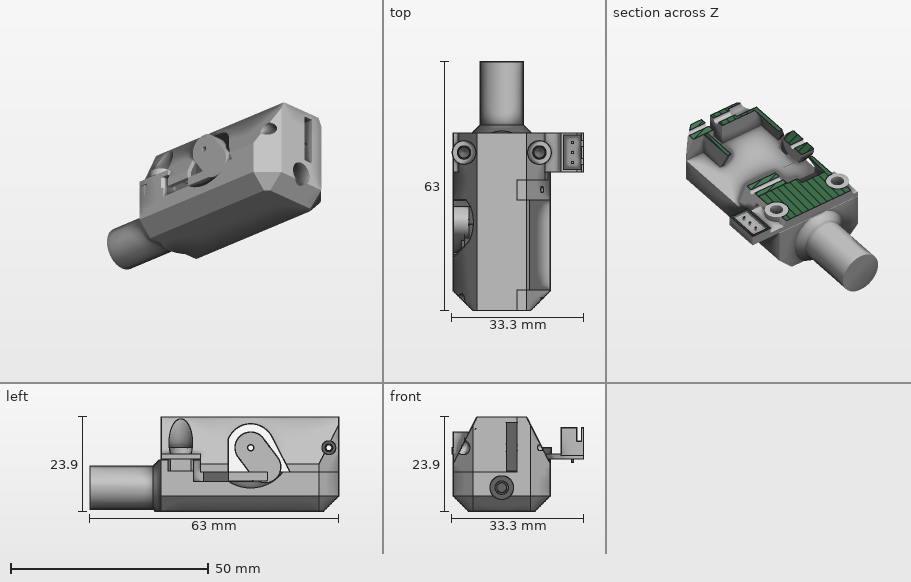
import cadquery as cq
import math


HALF_WIDTH = 12.3
BODY_LENGTH = 45.0
BOTTOM_Z = -6.0
TOP_Z = 17.9
BOTTOM_CHAMFER = 3.9
CORNER_CHAMFER = 5.0
SLOPE_START_Z = 6.0
TOP_HALF_WIDTH = 6.3
SLOPE = (HALF_WIDTH - TOP_HALF_WIDTH) / (TOP_Z - SLOPE_START_Z)

SPLIT_Z = 4.0
SEAM_X = 3.9
FRONT_TAB_END_Y = 5.2
REAR_TAB_START_Y = 27.95
REAR_TAB_END_Y = 33.1
REAR_TAB_INNER_X = 1.2
COVER_SIDE_X = 7.05
COVER_WALL = 1.2
CAVITY_TOP_Z = 16.5
CAVITY_REAR_BAY_X = -1.95
SLOT_FLOOR_CLEARANCE = 0.2

TUBE_DIAMETER = 11.0
TUBE_END_Y = 63.0
COLLAR_LENGTH = 2.0
BORE_DIAMETER = 6.0
BORE_DEPTH = 10.0
GUIDE_DIAMETER = 3.4
GUIDE_DEPTH = 12.0
FILAMENT_DIAMETER = 2.5
FILAMENT_DEPTH = 16.0

BOARD_START_Y = 35.05
BOARD_END_Y = BODY_LENGTH
BOARD_BOTTOM_Z = 7.2
BOARD_TOP_Z = 8.55
BOARD_RIGHT_X = 20.72
BOARD_GAP = 0.15
REAR_DECK_Z = BOARD_BOTTOM_Z - BOARD_GAP

SCREW_X = 9.55
SCREW_Y = 40.0
COUNTERBORE_DIAMETER = 6.0
BOSS_DIAMETER = COUNTERBORE_DIAMETER
BOSS_TOP_Z = 10.1
COVER_SCREW_HOLE = 3.4
BOARD_SCREW_HOLE = 3.2
HOUSING_SCREW_HOLE = 2.8
SCREW_HOLE_BOTTOM_Z = 1.0
DRILL_TIP_ANGLE = 118.0

CROSS_Z = 10.1
CROSS_SCREW_Y = 2.5
CROSS_HEAD_DIAMETER = 3.5
CROSS_HEAD_SEAT_X = -4.0
CROSS_CLEARANCE_DIAMETER = 2.0
PIN_DIAMETER = 1.5
REAR_PIN_Y = 30.6

PIVOT_Y = 22.3
LEVER_RADIUS = 4.0
LEVER_REACH = 6.1
LEVER_TILT = 53.0
LEVER_THICKNESS = 2.1
HUB_HEIGHT = 1.9
HUB_STEP_RADIUS = 4.6
HUB_STEP_HEIGHT = 0.8
LEVER_INNER_X = LEVER_THICKNESS - HALF_WIDTH
HUB_INNER_X = LEVER_INNER_X + HUB_HEIGHT
ARM_START_Y = REAR_TAB_START_Y
ARM_ROOT_END_Y = 21.9
ARM_ROOT_X = -6.0
ARM_END_Y = 18.0
ARM_BOTTOM_Z = 1.7
ARM_CORNER = 0.4

SWING_RADIUS = 10.2
SWING_POCKET_X = LEVER_INNER_X + HUB_STEP_HEIGHT
WINDOW_RADIUS = 6.05
WINDOW_REAR_Y = 28.1
WINDOW_FOOT_Y = 12.4
CHANNEL_CLEARANCE = 0.15
CHANNEL_FLOOR_Z = ARM_BOTTOM_Z - CHANNEL_CLEARANCE
CHANNEL_END_Y = 36.8
CHANNEL_STEP_Y = 34.3
CHANNEL_START_Y = ARM_ROOT_END_Y - CHANNEL_CLEARANCE
CHANNEL_SHALLOW = 1.5

SPACER_WIDTH = 6.4
SPACER_BASE_Z = 4.15
SPACER_RADIUS = 3.8

CONNECTOR_LEFT_X = 15.05
CONNECTOR_BOTTOM_Z = 8.15
CONNECTOR_TOP_Z = 15.2
CONNECTOR_WALL = 0.6
CONNECTOR_FLOOR_Z = 9.2
NOTCH_BOTTOM_Z = 11.75
NOTCH_LEFT_X = 19.05
NOTCH_WIDTH = 1.15
KEY_SLOT_WIDTH = 1.55
KEY_SLOT_OFFSET = 2.25
CONTACT_X = 17.95
CONTACT_PITCH = 2.5
CONTACT_SIZE = 0.5
CONTACT_BOTTOM_Z = 6.4
CONTACT_TOP_Z = 12.0

OVERCUT = 1.0


def box(x_range, y_range, z_range):
    """Axis-aligned box between three coordinate pairs."""
    size = [high - low for low, high in (x_range, y_range, z_range)]
    corner = (x_range[0], y_range[0], z_range[0])
    return cq.Workplane("XY").box(*size, centered=False).translate(corner)


def cylinder_x(diameter, x_start, x_end, y, z):
    plane = cq.Workplane("YZ", origin=(x_start, y, z))
    return plane.circle(diameter / 2).extrude(x_end - x_start)


def cylinder_y(diameter, y_start, y_end):
    plane = cq.Workplane("XZ", origin=(0, y_start, 0))
    return plane.circle(diameter / 2).extrude(y_start - y_end)


def cylinder_z(diameter, x, y, z_start, z_end):
    plane = cq.Workplane("XY", origin=(x, y, z_start))
    return plane.circle(diameter / 2).extrude(z_end - z_start)


def side_face(x):
    """Sketch plane facing +X whose local axes are the part's Y and Z."""
    return cq.Workplane("YZ", origin=(x, 0, 0))


def bottom_bevel(foot, outward, inset):
    """Wedge that bevels the bottom edge below an upright face passing through a plan point."""
    tangent = (outward[1], -outward[0], 0)
    plane = cq.Plane(origin=(*foot, BOTTOM_Z), xDir=(*outward, 0), normal=tangent)
    wedge = cq.Workplane(plane).polyline([(0, 0), (-inset, 0), (0, BOTTOM_CHAMFER)]).close()
    return wedge.extrude(BODY_LENGTH, both=True)


def outer_hull():
    """House-shaped bar with bevelled front corners and front bottom edge."""
    right_side = [
        (HALF_WIDTH - BOTTOM_CHAMFER, BOTTOM_Z),
        (HALF_WIDTH, BOTTOM_Z + BOTTOM_CHAMFER),
        (HALF_WIDTH, SLOPE_START_Z),
        (TOP_HALF_WIDTH, TOP_Z),
    ]
    left_side = [(-x, z) for x, z in reversed(right_side)]
    hull = cq.Workplane("XZ").polyline(right_side + left_side).close().extrude(-BODY_LENGTH)
    plan = (
        cq.Workplane("XY", origin=(0, 0, BOTTOM_Z))
        .rect(2 * HALF_WIDTH, 2 * BODY_LENGTH)
        .extrude(TOP_Z - BOTTOM_Z)
        .intersect(box((-HALF_WIDTH, HALF_WIDTH), (0, BODY_LENGTH), (BOTTOM_Z, TOP_Z)))
        .edges("|Z and <Y")
        .chamfer(CORNER_CHAMFER)
    )
    hull = hull.intersect(plan).cut(bottom_bevel((0, 0), (0, -1), BOTTOM_CHAMFER))
    corner_inset = BOTTOM_CHAMFER / math.sqrt(2)
    corner_x = HALF_WIDTH - CORNER_CHAMFER / 2
    for side in (-1, 1):
        hull = hull.cut(bottom_bevel((side * corner_x, CORNER_CHAMFER / 2), (side, -1), corner_inset))
    return hull


def make_arm():
    """Bar beside the lever with a rounded free end, widened inwards at its root."""
    arm_z = (ARM_BOTTOM_Z, SPLIT_Z)
    bar = box((-HALF_WIDTH, SWING_POCKET_X), (ARM_END_Y, ARM_START_Y), arm_z)
    root = box((SWING_POCKET_X, ARM_ROOT_X), (ARM_ROOT_END_Y, ARM_START_Y), arm_z)
    return bar.edges("|X and <Y").fillet(ARM_CORNER).union(root)


def tilted_slot(x_start, x_end):
    """Stadium whose upper centre is the lever pivot."""
    tilt = math.radians(LEVER_TILT)
    middle_y = PIVOT_Y - LEVER_REACH / 2 * math.cos(tilt)
    middle_z = CROSS_Z - LEVER_REACH / 2 * math.sin(tilt)
    length = LEVER_REACH + 2 * LEVER_RADIUS
    sketch = side_face(x_start).center(middle_y, middle_z)
    return sketch.slot2D(length, 2 * LEVER_RADIUS, LEVER_TILT).extrude(x_end - x_start)


def make_lever(arm):
    """Tilted stadium, thinned around its stepped round hub, with a seat for the arm."""
    hub = cylinder_x(2 * LEVER_RADIUS, LEVER_INNER_X, HUB_INNER_X, PIVOT_Y, CROSS_Z)
    step_end = LEVER_INNER_X + HUB_STEP_HEIGHT
    hub_step = cylinder_x(2 * HUB_STEP_RADIUS, LEVER_INNER_X, step_end, PIVOT_Y, CROSS_Z)
    thinning = tilted_slot(LEVER_INNER_X, HUB_INNER_X).cut(hub).cut(hub_step)
    pivot_hole = cylinder_x(PIN_DIAMETER, -HALF_WIDTH, HUB_INNER_X, PIVOT_Y, CROSS_Z)
    return tilted_slot(-HALF_WIDTH, HUB_INNER_X).cut(thinning).cut(pivot_hole).cut(arm)


def housing_regions():
    """Lower half and the two tabs that rise on the right, with a low bridge behind them."""
    whole_x = (-HALF_WIDTH, HALF_WIDTH)
    right_x = (SEAM_X, HALF_WIDTH)
    base = box(whole_x, (0, BODY_LENGTH), (BOTTOM_Z, SPLIT_Z))
    deck_bridge = box(right_x, (REAR_TAB_END_Y, BOARD_START_Y), (BOTTOM_Z, REAR_DECK_Z))
    front_tab = box(right_x, (0, FRONT_TAB_END_Y), (BOTTOM_Z, TOP_Z))
    rear_span = (REAR_TAB_START_Y, REAR_TAB_END_Y)
    rear_tab = box(right_x, rear_span, (BOTTOM_Z, TOP_Z))
    rear_web = box((REAR_TAB_INNER_X, HALF_WIDTH), rear_span, (BOTTOM_Z, CAVITY_TOP_Z))
    return base.union(deck_bridge).union(front_tab).union(rear_tab).union(rear_web)


def make_tube():
    """Rear tube with a conical collar, flattened level with the rear deck and the bottom."""
    radius = TUBE_DIAMETER / 2
    collar_end_y = BODY_LENGTH + COLLAR_LENGTH
    profile = [
        (0, BODY_LENGTH),
        (radius + COLLAR_LENGTH, BODY_LENGTH),
        (radius, collar_end_y),
        (radius, TUBE_END_Y),
        (0, TUBE_END_Y),
    ]
    tube = cq.Workplane("XY").polyline(profile).close().revolve(360, (0, 0, 0), (0, 1, 0))
    return tube.intersect(
        box((-HALF_WIDTH, HALF_WIDTH), (BODY_LENGTH, TUBE_END_Y), (BOTTOM_Z, REAR_DECK_Z))
    )


def filament_bore():
    """Stepped blind bore entering from the front face."""
    wide = cylinder_y(BORE_DIAMETER, 0, BORE_DEPTH)
    guide = cylinder_y(GUIDE_DIAMETER, 0, GUIDE_DEPTH)
    narrow = cylinder_y(FILAMENT_DIAMETER, 0, FILAMENT_DEPTH)
    return wide.union(guide).union(narrow)


def drilled_hole(x):
    """Screw hole with a conical drill tip."""
    radius = HOUSING_SCREW_HOLE / 2
    tip_z = SCREW_HOLE_BOTTOM_Z - radius / math.tan(math.radians(DRILL_TIP_ANGLE / 2))
    profile = [
        (0, tip_z),
        (radius, SCREW_HOLE_BOTTOM_Z),
        (radius, BOARD_BOTTOM_Z),
        (0, BOARD_BOTTOM_Z),
    ]
    hole = cq.Workplane("XZ").polyline(profile).close().revolve(360, (0, 0, 0), (0, 1, 0))
    return hole.translate((x, SCREW_Y, 0))


def lever_recess():
    """Swing pocket for the lever tip, open to the channel that runs back to the rear deck."""
    outer_x = -HALF_WIDTH - OVERCUT
    swing = cylinder_x(2 * SWING_RADIUS, outer_x, SWING_POCKET_X, PIVOT_Y, CROSS_Z).intersect(
        box((outer_x, SWING_POCKET_X), (0, BODY_LENGTH), (BOTTOM_Z, SPLIT_Z))
    )
    channel_z = (CHANNEL_FLOOR_Z, SPLIT_Z)
    shallow_x = (outer_x, -HALF_WIDTH + CHANNEL_SHALLOW)
    deep = box((outer_x, ARM_ROOT_X), (CHANNEL_START_Y, CHANNEL_STEP_Y), channel_z)
    shallow = box(shallow_x, (CHANNEL_STEP_Y, CHANNEL_END_Y), channel_z)
    upright = box(shallow_x, (BOARD_START_Y, CHANNEL_END_Y), (SPLIT_Z, REAR_DECK_Z))
    return swing.union(deep).union(shallow).union(upright)


def spacer_blank():
    """Round post under the left side of the board, trimmed flat on both flanks and the outer side."""
    half = SPACER_WIDTH / 2
    spacer_z = (SPACER_BASE_Z, BOARD_BOTTOM_Z)
    trim = box((-HALF_WIDTH, 0), (SCREW_Y - half, SCREW_Y + half), spacer_z)
    return cylinder_z(2 * SPACER_RADIUS, -SCREW_X, SCREW_Y, *spacer_z).intersect(trim)


def make_spacer():
    return spacer_blank().cut(drilled_hole(-SCREW_X))


def spacer_pocket():
    """Seat for the spacer, squared off where it breaks through the side wall."""
    half = SPACER_WIDTH / 2
    side_y = (SCREW_Y - half, SCREW_Y + half)
    mouth = box((-HALF_WIDTH, -SCREW_X), side_y, (SPACER_BASE_Z, BOARD_BOTTOM_Z))
    return spacer_blank().union(mouth)


def make_housing(hull):
    deck = box((-HALF_WIDTH, HALF_WIDTH), (BOARD_START_Y, BODY_LENGTH), (SPLIT_Z, REAR_DECK_Z))
    housing = hull.intersect(housing_regions()).union(deck).union(make_tube())
    housing = housing.cut(filament_bore()).cut(lever_recess()).cut(spacer_pocket())
    for x in (-SCREW_X, SCREW_X):
        housing = housing.cut(drilled_hole(x))
    for y in (CROSS_SCREW_Y, REAR_PIN_Y):
        housing = housing.cut(cylinder_x(PIN_DIAMETER, 0, HALF_WIDTH, y, CROSS_Z))
    return housing


def cover_regions():
    """Upper half, narrowed where the housing tabs take the right side."""
    low_left = (-HALF_WIDTH, SEAM_X)
    tall = (SPLIT_Z, TOP_Z)
    front = box(low_left, (0, FRONT_TAB_END_Y), tall)
    middle = box((-HALF_WIDTH, COVER_SIDE_X), (FRONT_TAB_END_Y, REAR_TAB_START_Y), tall)
    seam = box(low_left, (REAR_TAB_START_Y, BOARD_START_Y), tall)
    rear = box((-HALF_WIDTH, HALF_WIDTH), (REAR_TAB_END_Y, BODY_LENGTH), (BOARD_TOP_Z, TOP_Z))
    return front.union(middle).union(seam).union(rear)


def cover_cavity():
    """Hollow whose left wall follows the outer slope at constant thickness, deeper at the rear left."""
    inner_x = COVER_WALL - HALF_WIDTH
    ceiling_x = inner_x + SLOPE * (CAVITY_TOP_Z - SLOPE_START_Z)
    right_x = COVER_SIDE_X - COVER_WALL
    outline = [
        (inner_x, SPLIT_Z),
        (right_x, SPLIT_Z),
        (right_x, CAVITY_TOP_Z),
        (ceiling_x, CAVITY_TOP_Z),
        (inner_x, SLOPE_START_Z),
    ]
    start = cq.Workplane("XZ", origin=(0, FRONT_TAB_END_Y, 0))
    full = start.polyline(outline).close().extrude(FRONT_TAB_END_Y - BOARD_START_Y)
    rear_wall_y = (REAR_TAB_END_Y, BOARD_START_Y)
    return full.cut(box((CAVITY_REAR_BAY_X, right_x), rear_wall_y, (SPLIT_Z, CAVITY_TOP_Z)))


def lever_window():
    """Arched opening: upright rear edge, round top, and a front edge tangent to the arch."""
    rear_offset = WINDOW_REAR_Y - PIVOT_Y
    rear_z = CROSS_Z + math.sqrt(WINDOW_RADIUS**2 - rear_offset**2)
    foot_y = WINDOW_FOOT_Y - PIVOT_Y
    foot_z = SPLIT_Z - CROSS_Z
    foot_angle = math.atan2(foot_z, foot_y)
    tangent_angle = foot_angle - math.acos(WINDOW_RADIUS / math.hypot(foot_y, foot_z))
    tangent_y = PIVOT_Y + WINDOW_RADIUS * math.cos(tangent_angle)
    tangent_z = CROSS_Z + WINDOW_RADIUS * math.sin(tangent_angle)
    return (
        side_face(-HALF_WIDTH)
        .moveTo(WINDOW_REAR_Y, SPLIT_Z)
        .lineTo(WINDOW_REAR_Y, rear_z)
        .threePointArc((PIVOT_Y, CROSS_Z + WINDOW_RADIUS), (tangent_y, tangent_z))
        .lineTo(WINDOW_FOOT_Y, SPLIT_Z)
        .close()
        .extrude(2 * HALF_WIDTH)
    )


def make_cover(hull):
    slot_z = (SPLIT_Z + SLOT_FLOOR_CLEARANCE, CAVITY_TOP_Z)
    front_slot = box((REAR_TAB_INNER_X, SEAM_X), (0, FRONT_TAB_END_Y), slot_z)
    cover = hull.intersect(cover_regions())
    cover = cover.cut(cover_cavity()).cut(lever_window()).cut(front_slot)
    for x in (-SCREW_X, SCREW_X):
        boss = cylinder_z(BOSS_DIAMETER, x, SCREW_Y, BOARD_TOP_Z, BOSS_TOP_Z)
        counterbore = cylinder_z(COUNTERBORE_DIAMETER, x, SCREW_Y, BOSS_TOP_Z, TOP_Z)
        screw_hole = cylinder_z(COVER_SCREW_HOLE, x, SCREW_Y, BOARD_TOP_Z, BOSS_TOP_Z)
        cover = cover.union(boss).cut(counterbore).cut(screw_hole)
    head = cylinder_x(CROSS_HEAD_DIAMETER, -HALF_WIDTH, CROSS_HEAD_SEAT_X, CROSS_SCREW_Y, CROSS_Z)
    shank = cylinder_x(CROSS_CLEARANCE_DIAMETER, -HALF_WIDTH, SEAM_X, CROSS_SCREW_Y, CROSS_Z)
    return cover.cut(head).cut(shank)


def make_connector():
    """Three-pin open-topped shroud standing in the board, keyed along its right wall."""
    outer_y = (BOARD_START_Y, BOARD_END_Y)
    middle_y = sum(outer_y) / 2
    inner_y = (BOARD_START_Y + CONNECTOR_WALL, BOARD_END_Y - CONNECTOR_WALL)
    inner_x = (CONNECTOR_LEFT_X + CONNECTOR_WALL, BOARD_RIGHT_X - CONNECTOR_WALL)
    notch_x = (NOTCH_LEFT_X, NOTCH_LEFT_X + NOTCH_WIDTH)
    notch_z = (NOTCH_BOTTOM_Z, CONNECTOR_TOP_Z)
    shroud = box((CONNECTOR_LEFT_X, BOARD_RIGHT_X), outer_y, (CONNECTOR_BOTTOM_Z, CONNECTOR_TOP_Z))
    shroud = shroud.cut(box(inner_x, inner_y, (CONNECTOR_FLOOR_Z, CONNECTOR_TOP_Z)))
    shroud = shroud.cut(box(notch_x, outer_y, notch_z))
    for side in (-1, 1):
        slot_y = middle_y + side * KEY_SLOT_OFFSET
        slot_span = (slot_y - KEY_SLOT_WIDTH / 2, slot_y + KEY_SLOT_WIDTH / 2)
        shroud = shroud.cut(box((inner_x[1], BOARD_RIGHT_X), slot_span, notch_z))
    for step in (-1, 0, 1):
        contact = (
            cq.Workplane("XY", origin=(CONTACT_X, middle_y + step * CONTACT_PITCH, CONTACT_BOTTOM_Z))
            .rect(CONTACT_SIZE, CONTACT_SIZE)
            .extrude(CONTACT_TOP_Z - CONTACT_BOTTOM_Z)
        )
        shroud = shroud.union(contact)
    return shroud


def make_board(connector):
    """Board clamped between housing and cover, recessed for the connector."""
    board = box(
        (-HALF_WIDTH, BOARD_RIGHT_X), (BOARD_START_Y, BOARD_END_Y), (BOARD_BOTTOM_Z, BOARD_TOP_Z)
    )
    for x in (-SCREW_X, SCREW_X):
        board = board.cut(cylinder_z(BOARD_SCREW_HOLE, x, SCREW_Y, BOARD_BOTTOM_Z, BOARD_TOP_Z))
    return board.cut(connector)


outer_shape = outer_hull()
housing = make_housing(outer_shape)
cover = make_cover(outer_shape)
arm = make_arm()
lever = make_lever(arm)
connector = make_connector()
board = make_board(connector)
spacer = make_spacer()

bodies = (housing, cover, lever, arm, board, connector, spacer)
result = cq.Compound.makeCompound([body.solids().val() for body in bodies])